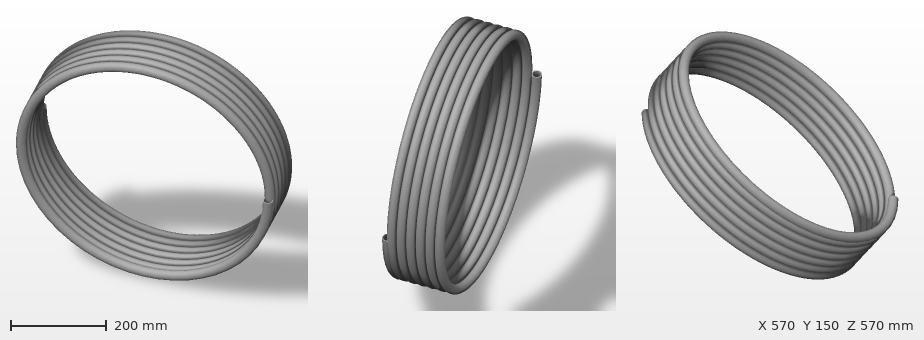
import cadquery as cq
coil_outer_diameter = 570.0
coil_width = 150.03
pipe_outer_diameter = 21.3
pipe_wall = 2.0
helix_turns = 6

pipe_outer_radius = pipe_outer_diameter / 2
pipe_bore_radius = pipe_outer_radius - pipe_wall
coil_radius = coil_outer_diameter / 2 - pipe_outer_radius
helix_width = coil_width - pipe_outer_diameter
pitch = helix_width / helix_turns

coil_axis = cq.Vector(0, 1, 0)
coil_start = cq.Vector(coil_radius, 0, 0)
helix_start = cq.Vector(-coil_radius, 0, 0)
helix_end = helix_start + coil_axis * helix_width


def flat_half_turn_wall(radius):
    """Half torus square to the axis, from the open end at +X under the axis to -X."""
    section = cq.Workplane("XY", origin=coil_start).circle(radius)
    rod = section.revolve(180, (-coil_radius, 0, 0), (-coil_radius, 1, 0))
    return rod.faces("not %PLANE").vals()


def helix_wall(radius):
    """Helical tube surface that starts and ends at -X and rises along +Y."""
    path = cq.Wire.makeHelix(pitch, helix_width, coil_radius, dir=coil_axis)
    path = path.rotate(cq.Vector(), coil_axis, -90)
    section = cq.Workplane("XY", origin=helix_start).circle(radius)
    rod = section.sweep(cq.Workplane(obj=path), isFrenet=True)
    return rod.faces("not %PLANE").vals()


def open_end(center):
    """Annular face closing the pipe wall at one end, in the plane through the coil axis."""
    rim, bore = [
        cq.Wire.makeCircle(radius, center, cq.Vector(0, 0, 1))
        for radius in (pipe_outer_radius, pipe_bore_radius)
    ]
    return cq.Face.makeFromWires(rim, [bore])


pipe_faces = [open_end(coil_start), open_end(helix_end)]
for wall_radius in (pipe_outer_radius, pipe_bore_radius):
    pipe_faces += flat_half_turn_wall(wall_radius)
    pipe_faces += helix_wall(wall_radius)

pipe_shell = cq.Shell.makeShell(pipe_faces)
result = cq.Workplane(obj=cq.Solid.makeSolid(pipe_shell))